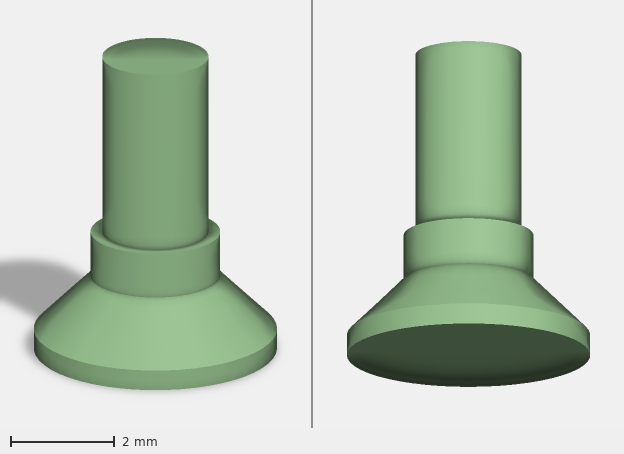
import cadquery as cq

total_height = 6.0
rim_diameter = 4.7
collar_diameter = 2.5
shank_diameter = 2.05
rim_height = 0.4
collar_height = 0.9
shank_height = 3.6

rim_radius = rim_diameter / 2
collar_radius = collar_diameter / 2
shank_radius = shank_diameter / 2

shoulder_z = total_height - shank_height
cone_top_z = shoulder_z - collar_height

half_section = [
    (0, 0),
    (rim_radius, 0),
    (rim_radius, rim_height),
    (collar_radius, cone_top_z),
    (collar_radius, shoulder_z),
    (shank_radius, shoulder_z),
    (shank_radius, total_height),
    (0, total_height),
]

result = (
    cq.Workplane("XZ")
    .polyline(half_section)
    .close()
    .revolve(360, (0, 0, 0), (0, 1, 0))
)